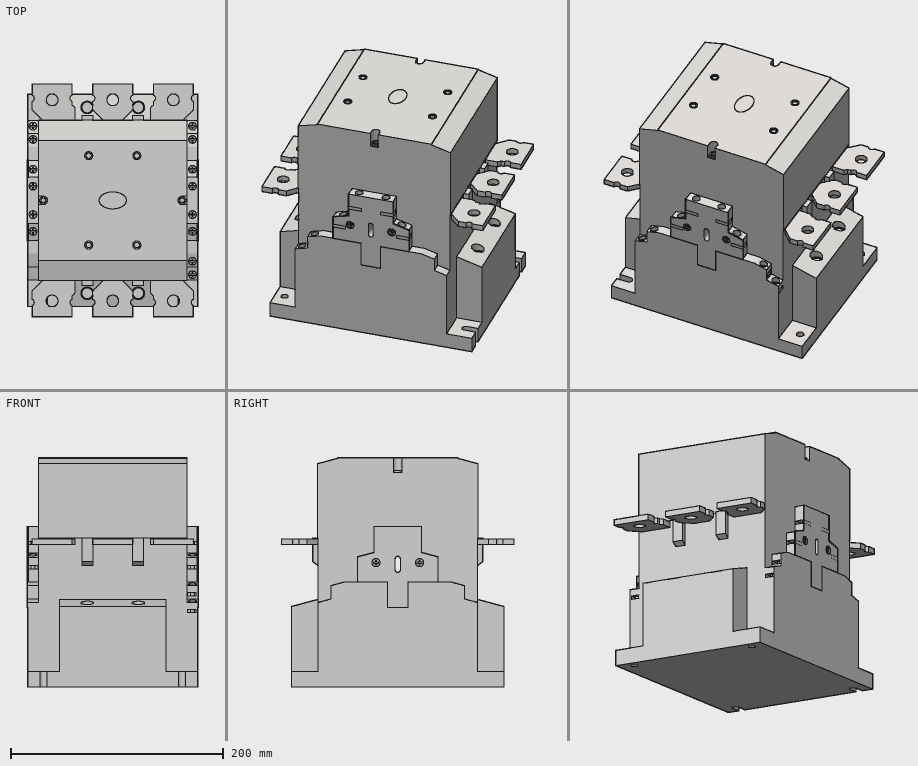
import cadquery as cq
import math

TOTAL_HEIGHT = 216.0
SLOPE = math.tan(math.radians(15))
SIDES = (-1, 1)
OVERLAP = 1.0

BODY_HALF_X = 80.0
BODY_HALF_Y = 75.0
BASE_HALF_Y = 100.0
BASE_HEIGHT = 15.0
MOUNT_SLOT_X = 65.0
MOUNT_SLOT_WIDTH = 6.8
MOUNT_SLOT_LENGTH = 14.5
MOUNT_HOLE_Y = 90.5

HOUSING_HALF_X = 70.0
HOUSING_HALF_Y = 75.5
HOUSING_BOTTOM = 140.5
LID_HALF_Y = 56.5
LID_HEIGHT = 0.8
LID_LEDGE = 0.5
LABEL_LENGTH = 25.6
LABEL_WIDTH = 16.0
LABEL_DEPTH = 0.2

SHOULDER_EDGE_Y = 62.8
SHOULDER_FLAT_Y = 50.0
SHOULDER_TOP = 99.0
LOW_SHOULDER_TOP = 83.0

CONTACT_HALF_Y = 38.0
CONTACT_TOWER_HALF_Y = 22.4
CONTACT_TOP = 151.3
CONTACT_STEP_TOP = 126.9
CONTACT_STEM_HALF_Y = 9.6
CONTACT_STEM_BOTTOM = 75.0
CONTACT_HALF_X = 80.45
COVER_THICKNESS = 1.0
COVER_LIP = 0.5
SIGHT_SLOT_Z = 115.6
SIGHT_SLOT_LENGTH = 15.0
SIGHT_SLOT_WIDTH = 4.8

WIRE_SCREW_X = 75.0
WIRE_SCREW_DIAMETER = 7.2
WIRE_SCREW_SHANK = 3.6
WIRE_SLOT_INNER_X = 70.5
UPPER_SLOT_OUTER_X = CONTACT_HALF_X - COVER_THICKNESS
LOWER_SLOT_OUTER_X = 78.3
WIRE_SLOT_HEIGHT = 3.2
WIRE_SLOT_SHANK_CLEARANCE = 4.0
SCREW_HEAD_HEIGHT = 3.0
CROSS_LENGTH = 4.8
CROSS_WIDTH = 1.3
CROSS_DEPTH = 1.2
PLATE_SCREW_Y = 20.5
PLATE_SCREW_Z = 117.2
PLATE_SCREW_DIAMETER = 7.6
PLATE_SCREW_RECESS = 1.5
LID_SCREW_X = 22.6
LID_SCREW_Y = 42.0
LID_SCREW_DIAMETER = 7.6
LID_SCREW_SOCKET = 5.0
LID_SCREW_STEP = 0.6
EDGE_SCREW_X = 65.3
EDGE_NOTCH_WIDTH = 7.8
EDGE_NOTCH_DEPTH = 14.0
EDGE_SCREW_DIAMETER = 7.0
EDGE_SCREW_SOCKET = 4.4
EDGE_SCREW_HEIGHT = 2.0

BLOCK_HALF_X = 50.0
BLOCK_OUTER_TOP = 76.0
BLOCK_HOLE_X = 24.0
BLOCK_HOLE_Y = 87.4
BLOCK_HOLE_DIAMETER = 11.8
BLOCK_HOLE_FLOOR = 73.0
BLOCK_BORE_DIAMETER = 10.2
BLOCK_BORE_FLOOR = 72.0

RIB_X = 23.8
RIB_WIDTH = 10.4
RIB_REACH_Y = 80.0
RIB_BOTTOM = 114.3
RIB_CHAMFER_HEIGHT = 3.7
TERMINAL_PITCH = 57.0
TERMINAL_HALF_WIDTH = 18.9
TERMINAL_REACH_Y = 109.5
TERMINAL_BOTTOM = 134.0
TERMINAL_THICKNESS = 5.5
TERMINAL_HOLE_Y = 94.5
TERMINAL_HOLE_DIAMETER = 11.0
TERMINAL_TAPER_Y = 85.2
TERMINAL_SHOULDER_Y = 87.0
TERMINAL_SHOULDER_WIDTH = 2.7
TERMINAL_NOTCH_Y = 96.0
TERMINAL_NOTCH_HALF = 3.0
TERMINAL_NOTCH_DEPTH = 2.1


def box(x_range, y_range, z_range):
    """Box between the given limits, which may be in either order."""
    limits = [sorted(pair) for pair in (x_range, y_range, z_range)]
    size = [high - low for low, high in limits]
    corner = [low for low, high in limits]
    return cq.Workplane("XY").box(*size, centered=False).translate(tuple(corner))


def cylinder(x, y, diameter, z_low, z_high):
    return cq.Workplane("XY", origin=(x, y, z_low)).circle(diameter / 2).extrude(z_high - z_low)


def mirrored_outline(half_points):
    """Closed list of (y, z) points from its +Y half, listed bottom to top."""
    return half_points + [(-y, z) for y, z in reversed(half_points)]


def prism_along_x(points, half_x):
    return cq.Workplane("YZ").polyline(points).close().extrude(half_x, both=True)


def cross(x, y, z_high):
    """Cross recess cutter, reaching down from z_high."""
    half_length = CROSS_LENGTH / 2
    half_width = CROSS_WIDTH / 2
    z_range = (z_high - CROSS_DEPTH, z_high)
    along_x = box((x - half_length, x + half_length), (y - half_width, y + half_width), z_range)
    along_y = box((x - half_width, x + half_width), (y - half_length, y + half_length), z_range)
    return along_x.union(along_y)


def make_body():
    base = box((-BODY_HALF_X, BODY_HALF_X), (-BASE_HALF_Y, BASE_HALF_Y), (0, BASE_HEIGHT))
    core = box(
        (-HOUSING_HALF_X, HOUSING_HALF_X),
        (-BODY_HALF_Y, BODY_HALF_Y),
        (0, HOUSING_BOTTOM + OVERLAP),
    )
    walls = prism_along_x(
        mirrored_outline([
            (BODY_HALF_Y, 0),
            (BODY_HALF_Y, LOW_SHOULDER_TOP - (BODY_HALF_Y - SHOULDER_EDGE_Y) * SLOPE),
            (SHOULDER_EDGE_Y, LOW_SHOULDER_TOP),
            (SHOULDER_EDGE_Y, SHOULDER_TOP - (SHOULDER_EDGE_Y - SHOULDER_FLAT_Y) * SLOPE),
            (SHOULDER_FLAT_Y, SHOULDER_TOP),
        ]),
        BODY_HALF_X,
    )
    return base.union(core).union(walls)


def make_housing():
    slope_start = LID_HALF_Y + LID_LEDGE
    slope_top = TOTAL_HEIGHT - LID_HEIGHT
    shell = prism_along_x(
        mirrored_outline([
            (HOUSING_HALF_Y, HOUSING_BOTTOM),
            (HOUSING_HALF_Y, slope_top - (HOUSING_HALF_Y - slope_start) * SLOPE),
            (slope_start, slope_top),
            (LID_HALF_Y, slope_top),
            (LID_HALF_Y, TOTAL_HEIGHT),
        ]),
        HOUSING_HALF_X,
    )
    label = (
        cq.Workplane("XY", origin=(0, 0, TOTAL_HEIGHT - LABEL_DEPTH))
        .ellipse(LABEL_LENGTH / 2, LABEL_WIDTH / 2)
        .extrude(LABEL_DEPTH + OVERLAP)
    )
    return shell.cut(label)


def make_stepped_block(half_x, inset):
    """Stepped profile through both sides, its flanks and steps drawn in by the inset."""
    half_y = CONTACT_HALF_Y - inset
    tower_half_y = CONTACT_TOWER_HALF_Y - inset
    step_top = CONTACT_STEP_TOP - inset
    return prism_along_x(
        mirrored_outline([
            (half_y, SHOULDER_TOP),
            (half_y, step_top - (half_y - tower_half_y) * SLOPE),
            (tower_half_y, step_top),
            (tower_half_y, CONTACT_TOP),
        ]),
        half_x,
    )


def make_contact_blocks():
    """Stepped block and its slightly larger outer cover, with a stem down the side wall."""
    block_half_x = CONTACT_HALF_X - COVER_THICKNESS
    covers = make_stepped_block(CONTACT_HALF_X, 0)
    covers = covers.union(box(
        (-CONTACT_HALF_X, CONTACT_HALF_X),
        (-CONTACT_STEM_HALF_Y, CONTACT_STEM_HALF_Y),
        (CONTACT_STEM_BOTTOM, SHOULDER_TOP),
    ))
    inside = box(
        (-block_half_x, block_half_x),
        (-CONTACT_HALF_Y, CONTACT_HALF_Y),
        (CONTACT_STEM_BOTTOM, CONTACT_TOP),
    )
    return covers.cut(inside).union(make_stepped_block(block_half_x, COVER_LIP))


def make_sloping_blocks():
    """Block with a sloping top and two bored holes at the front and at the rear."""
    inner_top = BLOCK_OUTER_TOP + (BASE_HALF_Y - BODY_HALF_Y) * SLOPE
    blocks = prism_along_x(
        mirrored_outline([
            (BASE_HALF_Y, 0),
            (BASE_HALF_Y, BLOCK_OUTER_TOP),
            (BODY_HALF_Y, inner_top),
        ]),
        BLOCK_HALF_X,
    )
    for side_x in SIDES:
        for side_y in SIDES:
            x = side_x * BLOCK_HOLE_X
            y = side_y * BLOCK_HOLE_Y
            blocks = blocks.cut(cylinder(x, y, BLOCK_HOLE_DIAMETER, BLOCK_HOLE_FLOOR, inner_top))
            blocks = blocks.cut(cylinder(x, y, BLOCK_BORE_DIAMETER, BLOCK_BORE_FLOOR, inner_top))
    return blocks


def make_ribs():
    profile = [
        (0, RIB_BOTTOM),
        (BODY_HALF_Y, RIB_BOTTOM),
        (RIB_REACH_Y, RIB_BOTTOM + RIB_CHAMFER_HEIGHT),
        (RIB_REACH_Y, HOUSING_BOTTOM),
        (0, HOUSING_BOTTOM),
    ]
    rib = prism_along_x(profile, RIB_WIDTH / 2)
    rib = rib.union(rib.mirror("XZ"))
    return rib.translate((-RIB_X, 0, 0)).union(rib.translate((RIB_X, 0, 0)))


def make_terminal(position):
    """Terminal blade on the +Y side; position is -1, 0 or 1 along X."""
    half = TERMINAL_HALF_WIDTH
    root_y = BODY_HALF_Y - OVERLAP

    def edge(side):
        """Points along one long edge, from the root to just inside the notch."""
        if side * position < 0:
            wide = half + TERMINAL_SHOULDER_WIDTH
            step_y = TERMINAL_SHOULDER_Y + TERMINAL_SHOULDER_WIDTH
            return [(side * wide, root_y), (side * wide, TERMINAL_SHOULDER_Y), (side * half, step_y)]
        taper = TERMINAL_TAPER_Y - root_y
        return [(side * (half - taper), root_y), (side * half, TERMINAL_TAPER_Y)]

    notch_start = TERMINAL_NOTCH_Y - TERMINAL_NOTCH_HALF
    notch_end = TERMINAL_NOTCH_Y + TERMINAL_NOTCH_HALF
    notch_x = half - TERMINAL_NOTCH_DEPTH
    left = edge(-1)
    right = edge(1)
    outline = cq.Workplane("XY", origin=(0, 0, TERMINAL_BOTTOM)).moveTo(*left[0])
    for point in right:
        outline = outline.lineTo(*point)
    outline = (
        outline.lineTo(half, notch_start)
        .threePointArc((notch_x, TERMINAL_NOTCH_Y), (half, notch_end))
        .lineTo(half, TERMINAL_REACH_Y)
        .lineTo(-half, TERMINAL_REACH_Y)
        .lineTo(-half, notch_end)
        .threePointArc((-notch_x, TERMINAL_NOTCH_Y), (-half, notch_start))
    )
    for point in reversed(left[1:]):
        outline = outline.lineTo(*point)
    blade = outline.close().extrude(TERMINAL_THICKNESS)
    hole = cylinder(
        0, TERMINAL_HOLE_Y, TERMINAL_HOLE_DIAMETER, TERMINAL_BOTTOM, TERMINAL_BOTTOM + TERMINAL_THICKNESS
    )
    return blade.cut(hole).translate((position * TERMINAL_PITCH, 0, 0))


def add_terminals(part):
    for position in (-1, 0, 1):
        blade = make_terminal(position)
        part = part.union(blade).union(blade.mirror("XZ"))
    return part


def cut_mounting(part):
    """Open-ended slots along the front edge of the base and round holes along the rear edge."""
    radius = MOUNT_SLOT_WIDTH / 2
    slot_center_y = -BASE_HALF_Y + MOUNT_SLOT_LENGTH - radius
    for side in SIDES:
        x = side * MOUNT_SLOT_X
        slot_end = cylinder(x, slot_center_y, MOUNT_SLOT_WIDTH, 0, BASE_HEIGHT)
        slot_mouth = box((x - radius, x + radius), (-BASE_HALF_Y, slot_center_y), (0, BASE_HEIGHT))
        hole = cylinder(x, MOUNT_HOLE_Y, MOUNT_SLOT_WIDTH, 0, BASE_HEIGHT)
        part = part.cut(slot_end).cut(slot_mouth).cut(hole)
    return part


def cut_sight_slot(part):
    """Upright slot that passes right through the part along X."""
    slot = (
        cq.Workplane("YZ", origin=(0, 0, SIGHT_SLOT_Z))
        .slot2D(SIGHT_SLOT_LENGTH, SIGHT_SLOT_WIDTH, 90)
        .extrude(CONTACT_HALF_X + OVERLAP, both=True)
    )
    return part.cut(slot)


def cut_lid_screws(part):
    for side_x in SIDES:
        for side_y in SIDES:
            x = side_x * LID_SCREW_X
            y = side_y * LID_SCREW_Y
            recess_floor = TOTAL_HEIGHT - LID_SCREW_STEP
            socket_floor = recess_floor - LID_SCREW_STEP
            part = part.cut(cylinder(x, y, LID_SCREW_DIAMETER, recess_floor, TOTAL_HEIGHT))
            part = part.cut(cylinder(x, y, LID_SCREW_SOCKET, socket_floor, TOTAL_HEIGHT))
    return part


def add_edge_screws(part):
    """Round-ended notch in each long top edge, with a socket screw on its floor."""
    floor = TOTAL_HEIGHT - EDGE_NOTCH_DEPTH
    head_top = floor + EDGE_SCREW_HEIGHT
    half_width = EDGE_NOTCH_WIDTH / 2
    for side in SIDES:
        x = side * EDGE_SCREW_X
        round_end = cylinder(x, 0, EDGE_NOTCH_WIDTH, floor, TOTAL_HEIGHT)
        mouth = box((x, side * HOUSING_HALF_X), (-half_width, half_width), (floor, TOTAL_HEIGHT))
        head = cylinder(x, 0, EDGE_SCREW_DIAMETER, floor, head_top)
        socket = cylinder(x, 0, EDGE_SCREW_SOCKET, floor, head_top)
        part = part.cut(round_end).cut(mouth).union(head.cut(socket))
    return part


def cut_plate_screws(part):
    """Recessed cross screws in the outer face of each contact block."""
    recess_top = OVERLAP
    recess_floor = -PLATE_SCREW_RECESS
    cutter = cylinder(0, 0, PLATE_SCREW_DIAMETER, recess_floor, recess_top).union(cross(0, 0, recess_floor))
    for side_x in SIDES:
        turned = cutter.rotate((0, 0, 0), (0, 1, 0), side_x * 90)
        for side_y in SIDES:
            place = (side_x * CONTACT_HALF_X, side_y * PLATE_SCREW_Y, PLATE_SCREW_Z)
            part = part.cut(turned.translate(place))
    return part


def cut_wire_terminal(part, side_x, side_y, screw_y, face_y, shoulder_top, slot_top, slot_outer_x):
    """Wire slot in a shoulder's end face, with the clamp screw sunk in from above."""
    x = side_x * WIRE_SCREW_X
    y = side_y * screw_y
    slot_bottom = slot_top - WIRE_SLOT_HEIGHT
    slot_end = screw_y - WIRE_SLOT_SHANK_CLEARANCE
    slot = box(
        (side_x * WIRE_SLOT_INNER_X, side_x * slot_outer_x),
        (side_y * slot_end, side_y * face_y),
        (slot_bottom, slot_top),
    )
    shank = cylinder(x, y, WIRE_SCREW_SHANK, slot_bottom, slot_top)
    head_top = slot_top + SCREW_HEAD_HEIGHT
    well = cylinder(x, y, WIRE_SCREW_DIAMETER, head_top, shoulder_top)
    return part.cut(slot.cut(shank)).cut(well).cut(cross(x, y, head_top))


def cut_wire_terminals(part):
    upper_screws = (
        (13.3, CONTACT_TOWER_HALF_Y - COVER_LIP, CONTACT_TOP, 137.2, UPPER_SLOT_OUTER_X),
        (29.2, CONTACT_HALF_Y - COVER_LIP, CONTACT_STEP_TOP, 114.3, UPPER_SLOT_OUTER_X),
    )
    lower_screws = (
        (57.3, SHOULDER_EDGE_Y, SHOULDER_TOP, 88.9, LOWER_SLOT_OUTER_X),
        (69.8, BODY_HALF_Y, LOW_SHOULDER_TOP, 73.3, LOWER_SLOT_OUTER_X),
    )
    for side_x in SIDES:
        for side_y in SIDES:
            has_lower_screws = side_x > 0 or side_y > 0
            screws = upper_screws + lower_screws if has_lower_screws else upper_screws
            for screw in screws:
                part = cut_wire_terminal(part, side_x, side_y, *screw)
    return part


result = (
    make_body()
    .union(make_housing())
    .union(make_contact_blocks())
    .union(make_sloping_blocks())
    .union(make_ribs())
)
result = add_terminals(result)
result = cut_mounting(result)
result = cut_sight_slot(result)
result = cut_lid_screws(result)
result = add_edge_screws(result)
result = cut_plate_screws(result)
result = cut_wire_terminals(result)